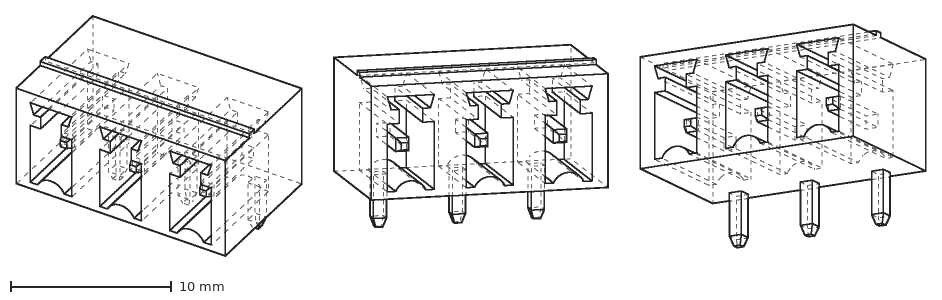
import cadquery as cq

pole_count = 3
housing_width = 15.24
pole_pitch = housing_width / pole_count
housing_depth = 9.2
housing_height = 7.24

rib_height = 0.3
rib_front = 2.9
rib_width = 0.6

cavity_depth = 6.86
cavity_width = 3.02
cavity_floor = 0.47
shoulder_height = 4.79
neck_width = 1.51
neck_top = 5.67
dovetail_base_width = 2.51
cavity_top = 6.5
hump_width = 1.95
hump_height = 0.62

pin_size = 0.85
pin_tip_size = 0.45
pin_tip_length = 0.61
contact_height = 2.99
contact_front = 1.5
tail_length = 3.41
tail_from_back = 1.2
tail_y = housing_depth - tail_from_back


def make_housing():
    body = cq.Workplane("XY").box(
        housing_width, housing_depth, housing_height, centered=(True, False, False)
    )
    rib = (
        cq.Workplane("XY", origin=(0, rib_front, housing_height))
        .box(housing_width, rib_width, rib_height, centered=(True, False, False))
    )
    return body.union(rib)


def make_cavity(x):
    """Cavity with a dovetail keyway above it and a round hump left along its floor."""
    half_cavity = cavity_width / 2
    half_neck = neck_width / 2
    half_dovetail = dovetail_base_width / 2
    half_hump = hump_width / 2
    return (
        cq.Workplane("XZ", origin=(x, 0, 0))
        .moveTo(-half_cavity, cavity_floor)
        .lineTo(-half_hump, cavity_floor)
        .threePointArc((0, cavity_floor + hump_height), (half_hump, cavity_floor))
        .lineTo(half_cavity, cavity_floor)
        .lineTo(half_cavity, shoulder_height)
        .lineTo(half_neck, shoulder_height)
        .lineTo(half_neck, neck_top)
        .lineTo(half_dovetail, neck_top)
        .lineTo(half_cavity, cavity_top)
        .lineTo(-half_cavity, cavity_top)
        .lineTo(-half_dovetail, neck_top)
        .lineTo(-half_neck, neck_top)
        .lineTo(-half_neck, shoulder_height)
        .lineTo(-half_cavity, shoulder_height)
        .close()
        .extrude(-cavity_depth)
    )


def make_pin(end_plane, length):
    """Square pin ending at end_plane, whose normal points out of the pin's end."""
    shaft_plane = end_plane.workplane(offset=-pin_tip_length)
    shaft = shaft_plane.rect(pin_size, pin_size).extrude(pin_tip_length - length)
    tip = (
        shaft_plane.rect(pin_size, pin_size)
        .workplane(offset=pin_tip_length)
        .rect(pin_tip_size, pin_tip_size)
        .loft(ruled=True)
    )
    return shaft.union(tip)


def make_contact(x):
    """Right-angle contact: one leg into the cavity, one leg down below the housing."""
    front_end = cq.Workplane("XZ", origin=(x, contact_front, contact_height))
    front_leg = make_pin(front_end, tail_y + pin_size / 2 - contact_front)
    bottom_end = cq.Workplane("XY", origin=(x, tail_y, -tail_length)).transformed(rotate=(180, 0, 0))
    tail_leg = make_pin(bottom_end, tail_length + contact_height + pin_size / 2)
    return front_leg.union(tail_leg)


pole_positions = [(i - (pole_count - 1) / 2) * pole_pitch for i in range(pole_count)]

result = make_housing()
for pole_x in pole_positions:
    result = result.cut(make_cavity(pole_x))
for pole_x in pole_positions:
    result = result.union(make_contact(pole_x))